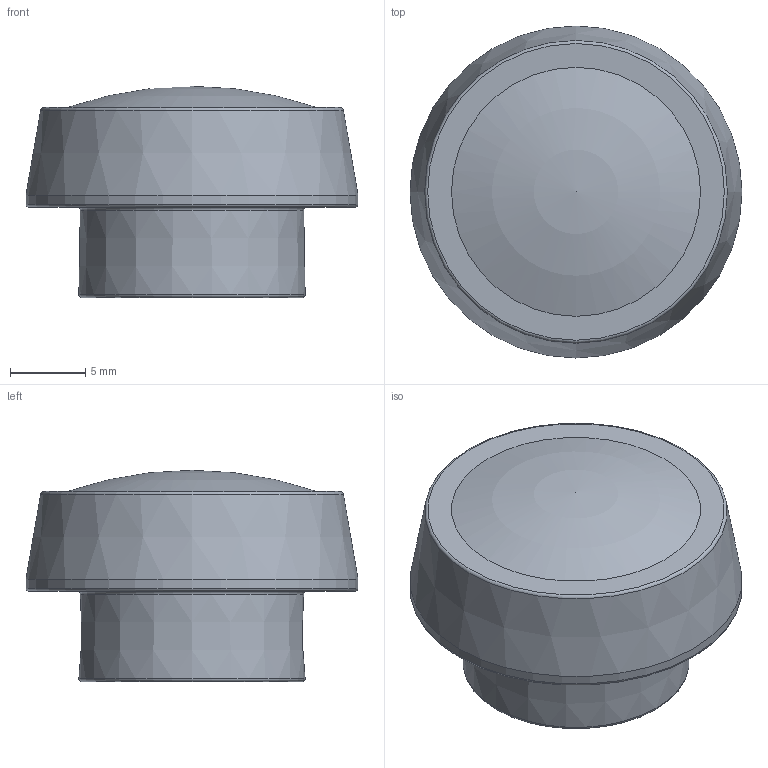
import cadquery as cq
import math

total_height = 14.0
stem_height = 6.0
rim_height = 0.8
cap_height = 6.6
cap_top = stem_height + cap_height
rim_top = stem_height + rim_height

cap_radius = 22.0 / 2
cap_top_radius = 10.0
dome_radius = 16.5 / 2
stem_bottom_radius = 7.5
stem_top_radius = 7.4
edge_radius = 0.2
match_tolerance = 0.01


def round_body():
    """Stem, tapered cap and crowned top revolved about Z."""
    dome_height = total_height - cap_top
    sphere_radius = (dome_radius**2 + dome_height**2) / (2 * dome_height)
    sphere_center_z = total_height - sphere_radius
    middle_radius = dome_radius / 2
    middle_z = sphere_center_z + math.sqrt(sphere_radius**2 - middle_radius**2)

    return (
        cq.Workplane("XZ")
        .moveTo(0, 0)
        .lineTo(stem_bottom_radius, 0)
        .lineTo(stem_top_radius, stem_height)
        .lineTo(cap_radius, stem_height)
        .lineTo(cap_radius, rim_top)
        .lineTo(cap_top_radius, cap_top)
        .lineTo(dome_radius, cap_top)
        .threePointArc((middle_radius, middle_z), (0, total_height))
        .close()
        .revolve(360, (0, 0, 0), (0, 1, 0))
    )


def circle_at(body, radius, height):
    """The circular edge of the given radius centred on Z at the given height."""
    return body.edges("%CIRCLE").filter(
        lambda edge: abs(edge.radius() - radius) < match_tolerance
        and abs(edge.Center().z - height) < match_tolerance
    )


result = round_body()
rounded_circles = [
    (stem_bottom_radius, 0),
    (stem_top_radius, stem_height),
    (cap_radius, stem_height),
    (cap_top_radius, cap_top),
]
for circle_radius, circle_height in rounded_circles:
    result = circle_at(result, circle_radius, circle_height).fillet(edge_radius)